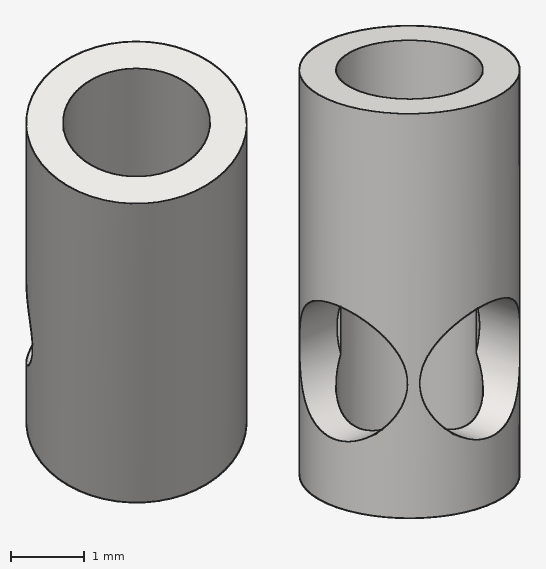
import cadquery as cq

height = 6.0
outer_diameter = height / 2
bore_diameter = height / 3

hole_diameter = bore_diameter
hole_height = height / 3
hole_end_offset = 0.37


def side_hole(direction):
    """Radial cutter starting near the tube axis and passing out through one wall."""
    outward = cq.Vector(*direction)
    hole_start = outward * hole_end_offset + cq.Vector(0, 0, hole_height)
    return cq.Workplane(
        cq.Solid.makeCylinder(hole_diameter / 2, outer_diameter, hole_start, outward)
    )


tube = (
    cq.Workplane("XY")
    .circle(outer_diameter / 2)
    .circle(bore_diameter / 2)
    .extrude(height)
)

result = tube
for direction in [(-1, 0, 0), (0, 1, 0)]:
    result = result.cut(side_hole(direction))